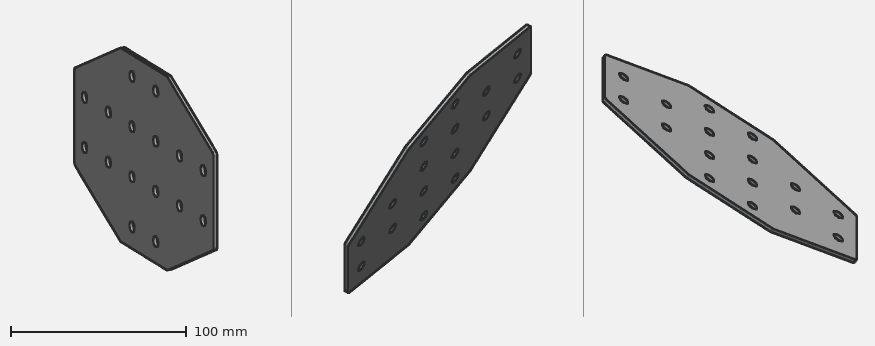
import cadquery as cq

length = 176.0
height = 116.0
thickness = 2.5

top_edge_length = 59.0
side_edge_length = 57.5
corner_radius = 2.5

hole_diameter = 6.2
hole_pitch = 30.0
row_hole_count = 6
line_count = 2
column_hole_count = 4


def front_face():
    """Workplane on the -Y face of the plate; material lies behind it."""
    return cq.Workplane("XZ", origin=(0, -thickness / 2, 0))


def make_plate():
    """Octagonal plate centred on the origin, with rounded corners."""
    half_length = length / 2
    half_height = height / 2
    half_top = top_edge_length / 2
    half_side = side_edge_length / 2
    outline = [
        (half_length, half_side),
        (half_top, half_height),
        (-half_top, half_height),
        (-half_length, half_side),
        (-half_length, -half_side),
        (-half_top, -half_height),
        (half_top, -half_height),
        (half_length, -half_side),
    ]
    plate = front_face().polyline(outline).close().extrude(-thickness)
    return plate.edges("|Y").fillet(corner_radius)


def hole_grid(columns, rows):
    """Cylinders through the plate on a centred grid."""
    return (
        front_face()
        .rarray(hole_pitch, hole_pitch, columns, rows)
        .circle(hole_diameter / 2)
        .extrude(-thickness)
    )


long_rows = hole_grid(row_hole_count, line_count)
short_columns = hole_grid(line_count, column_hole_count)

result = make_plate().cut(long_rows).cut(short_columns)